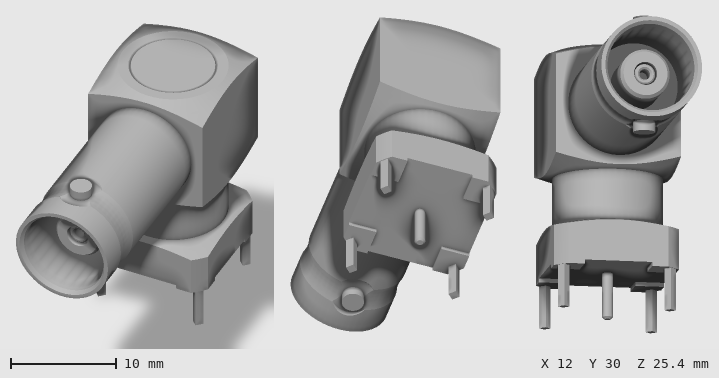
import cadquery as cq
import math


width = 12.0
half_width = width / 2
overall_length = 30.0
overall_height = 25.45
block_bottom = overall_height - width
axis_height = overall_height - half_width
mouth_y = half_width - overall_length

collar_radius = 5.25
block_bevel_drop = 1.25
block_corner_radius = half_width * math.sqrt(2)
base_top = 8.6
base_bottom = 4.02
base_bevel_drop = 0.7
base_corner_inset = 1.2
base_corner_radius = math.hypot(half_width, half_width - base_corner_inset)
foot_height = 0.4
foot_gap = 6.48

groove_outer_radius = 4.23
groove_bottom_radius = 4.08
groove_inner_radius = 4.0
groove_depth = 0.15

leg_side = 0.78
leg_offset = 5.1
pin_radius = 0.5
pin_chamfer = 0.2

barrel_radius = 4.83
bore_mouth_radius = 4.45
bore_radius = 4.17
bore_floor_radius = 4.08
bore_lead_in = 0.4
bore_depth = 9.0

lug_y = -19.9
lug_radius = 1.05
lug_reach = 5.52
neck_width = 2.6
neck_radius = 4.65
spot_height = 4.53
spot_floor_radius = 2.05
spot_outer_radius = 2.25

insulator_y = -20.67
insulator_radius = 2.37
insulator_tip_radius = 2.1
insulator_chamfer_length = 0.35
insulator_hole_radius = 1.1
insulator_hole_depth = 3.0
contact_recess = 0.3
contact_radius = 1.0
contact_chamfer = 0.15
contact_hole_mouth_radius = 0.7
contact_hole_radius = 0.5
contact_hole_depth = 1.8


def turned_z(profile):
    """Revolve (radius, z) points about the Z axis."""
    return cq.Workplane("XZ").polyline(profile).close().revolve(360, (0, 0), (0, 1))


def turned_barrel(profile):
    """Revolve (radius, y) points about the barrel axis."""
    sketch = cq.Workplane("XY", origin=(0, 0, axis_height)).polyline(profile).close()
    return sketch.revolve(360, (0, 0), (0, 1))


def square_prism(bottom, top):
    """Square of the full width between two heights."""
    return cq.Workplane("XY", origin=(0, 0, bottom)).rect(width, width).extrude(top - bottom)


def make_block():
    """Cube with conical bevels above and below, and the cap's V groove on top."""
    envelope = turned_z([
        (0, block_bottom),
        (collar_radius, block_bottom),
        (block_corner_radius, block_bottom + block_bevel_drop),
        (block_corner_radius, overall_height - block_bevel_drop),
        (collar_radius, overall_height),
        (0, overall_height),
    ])
    cap_groove = turned_z([
        (groove_inner_radius, overall_height),
        (groove_bottom_radius, overall_height - groove_depth),
        (groove_outer_radius, overall_height),
    ])
    return square_prism(block_bottom, overall_height).intersect(envelope).cut(cap_groove)


def make_base():
    """Square base with rounded corners, a conical top and four corner feet."""
    envelope = turned_z([
        (0, base_bottom),
        (base_corner_radius, base_bottom),
        (base_corner_radius, base_top - base_bevel_drop),
        (collar_radius, base_top),
        (0, base_top),
    ])
    base = square_prism(base_bottom, base_top).intersect(envelope)
    floor = cq.Workplane("XY", origin=(0, 0, base_bottom))
    for size_x, size_y in ((foot_gap, width), (width, foot_gap)):
        base = base.cut(floor.rect(size_x, size_y).extrude(foot_height))
    return base


def make_collar():
    """Round collar joining the base to the block."""
    collar = cq.Workplane("XY", origin=(0, 0, base_top)).circle(collar_radius)
    return collar.extrude(block_bottom - base_top)


def make_pins():
    """Four square legs at the corners and one round centre pin."""
    pins = cq.Workplane("XY").circle(pin_radius).extrude(base_bottom + foot_height)
    pins = pins.faces("<Z").chamfer(pin_chamfer)
    leg = cq.Workplane("XY").rect(leg_side, leg_side).extrude(base_bottom)
    leg = leg.rotate((0, 0, 0), (0, 0, 1), 45)
    for x in (-leg_offset, leg_offset):
        for y in (-leg_offset, leg_offset):
            pins = pins.union(leg.translate((x, y, 0)))
    return pins


def make_barrel_shell():
    """Solid barrel with the concave neck around the lugs."""
    outline = cq.Workplane("XY", origin=(0, 0, axis_height)).moveTo(0, mouth_y)
    outline = outline.lineTo(barrel_radius, mouth_y)
    outline = outline.lineTo(barrel_radius, lug_y - neck_width / 2)
    outline = outline.threePointArc((neck_radius, lug_y), (barrel_radius, lug_y + neck_width / 2))
    outline = outline.lineTo(barrel_radius, -half_width).lineTo(0, -half_width).close()
    return outline.revolve(360, (0, 0), (0, 1))


def make_spot_cutter():
    """Flared cutter that leaves a flat face around the upper lug."""
    flare = (spot_outer_radius - spot_floor_radius) / (barrel_radius - spot_height)
    top_radius = spot_floor_radius + flare * (lug_reach - spot_height)
    cutter = turned_z([
        (0, spot_height),
        (spot_floor_radius, spot_height),
        (top_radius, lug_reach),
        (0, lug_reach),
    ])
    return cutter.translate((0, lug_y, axis_height))


def make_lug():
    """Upper bayonet lug, starting inside the barrel wall."""
    start = (bore_mouth_radius + spot_height) / 2
    lug = cq.Workplane("XY", origin=(0, lug_y, axis_height + start)).circle(lug_radius)
    return lug.extrude(lug_reach - start)


def upper_and_lower(upper):
    """Copy a feature to the opposite side of the barrel axis."""
    return upper, upper.rotate((0, 0, axis_height), (0, 1, axis_height), 180)


def make_bore():
    """Slightly tapered bore with a conical lead-in at the mouth."""
    floor_y = mouth_y + bore_depth
    return turned_barrel([
        (0, mouth_y),
        (bore_mouth_radius, mouth_y),
        (bore_radius, mouth_y + bore_lead_in),
        (bore_floor_radius, floor_y),
        (0, floor_y),
    ])


def make_insulator():
    """Insulator boss with a tapered tip and a deep centre hole."""
    hole_floor_y = insulator_y + insulator_hole_depth
    return turned_barrel([
        (insulator_hole_radius, insulator_y),
        (insulator_tip_radius, insulator_y),
        (insulator_radius, insulator_y + insulator_chamfer_length),
        (insulator_radius, -half_width),
        (0, -half_width),
        (0, hole_floor_y),
        (insulator_hole_radius, hole_floor_y),
    ])


def make_contact():
    """Hollow centre contact with a chamfered rim and a countersunk hole."""
    tip_y = insulator_y + contact_recess
    countersink = contact_hole_mouth_radius - contact_hole_radius
    hole_floor_y = tip_y + contact_hole_depth
    return turned_barrel([
        (contact_hole_mouth_radius, tip_y),
        (contact_radius - contact_chamfer, tip_y),
        (contact_radius, tip_y + contact_chamfer),
        (contact_radius, -half_width),
        (0, -half_width),
        (0, hole_floor_y),
        (contact_hole_radius, hole_floor_y),
        (contact_hole_radius, tip_y + countersink),
    ])


def make_barrel():
    """Complete barrel with lugs, bore, insulator and contact."""
    barrel = make_barrel_shell()
    for cutter in upper_and_lower(make_spot_cutter()):
        barrel = barrel.cut(cutter)
    for lug in upper_and_lower(make_lug()):
        barrel = barrel.union(lug)
    barrel = barrel.cut(make_bore())
    return barrel.union(make_insulator()).union(make_contact())


result = make_base().union(make_collar()).union(make_block())
result = result.union(make_pins()).union(make_barrel())